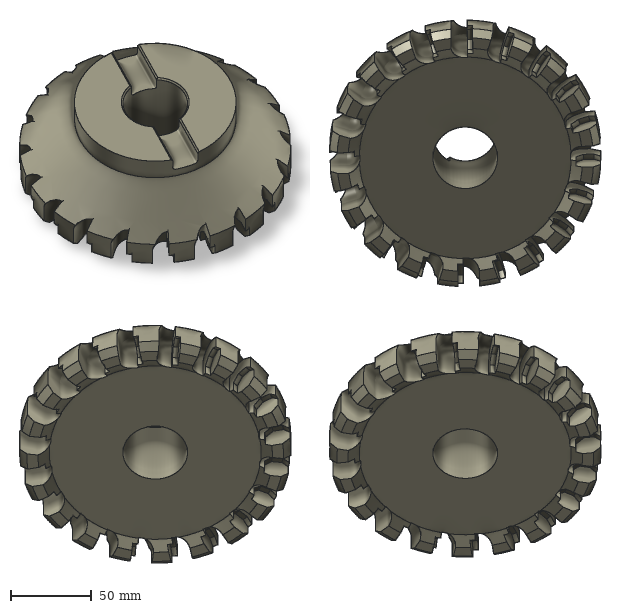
import cadquery as cq
import math

height = 60.7
rim_radius = 83.9
rim_top = 21.6
hub_radius = 50.0
hub_height = 15.0
hub_bottom = height - hub_height
edge_chamfer = 4.5

dish_radius = 72.5
dish_depth = 4.0
dish_angle = 30.0
dish_floor_radius = dish_radius - dish_depth / math.tan(math.radians(dish_angle))

bore_radius = 20.0
bore_chamfer = 1.0
slot_width = 16.6
slot_depth = 9.0
slot_corner_radius = 2.0
slot_chamfer = 1.0

tooth_count = 20
face_offset = 2.3
gullet_width = 10.0
gullet_corner_radius = 8.0
gullet_floor_radius = 65.0
gullet_round_height = 16.1

seat_depth = 3.4
seat_back_radius = 68.5
seat_top = 15.1
seat_top_inner_radius = 73.1
seat_top_outer_radius = 79.7
seat_back_top = 10.0

clearance = 3.4
outside_radius = rim_radius + clearance


def make_body():
    profile = [
        (0, dish_depth),
        (dish_floor_radius, dish_depth),
        (dish_radius, 0),
        (rim_radius - edge_chamfer, 0),
        (rim_radius, edge_chamfer),
        (rim_radius, rim_top),
        (hub_radius, hub_bottom),
        (hub_radius, height),
        (0, height),
    ]
    return cq.Workplane("XZ").polyline(profile).close().revolve(360, (0, 0), (0, 1))


def make_bore():
    bore = cq.Workplane("XY").circle(bore_radius).extrude(height)
    mouth = (
        cq.Workplane("XY")
        .workplane(offset=height - bore_chamfer)
        .circle(bore_radius)
        .workplane(offset=bore_chamfer)
        .circle(bore_radius + bore_chamfer)
        .loft()
    )
    return bore.union(mouth)


def make_drive_slot():
    half = slot_width / 2
    length = 2 * outside_radius
    channel = (
        cq.Workplane("XY")
        .box(length, slot_width, slot_depth, centered=(True, True, False))
        .edges("|X and <Z")
        .fillet(slot_corner_radius)
        .translate((0, 0, height - slot_depth))
    )
    bevel = (
        cq.Workplane("YZ", origin=(-length / 2, 0, 0))
        .polyline(
            [
                (-half, height - slot_chamfer),
                (half, height - slot_chamfer),
                (half + slot_chamfer, height),
                (-half - slot_chamfer, height),
            ]
        )
        .close()
        .extrude(length)
    )
    return channel.union(bevel)


def gullet_section(start_height):
    """Half outline of the cutter, in a horizontal plane at the -Y side of the rim."""
    side = face_offset - gullet_width
    tangent = -gullet_floor_radius - gullet_corner_radius
    diagonal = gullet_corner_radius * math.sqrt(0.5)
    corner_middle = (
        side + gullet_corner_radius - diagonal,
        tangent + diagonal,
    )
    return (
        cq.Workplane("XY", origin=(0, 0, start_height))
        .moveTo(face_offset, -outside_radius)
        .lineTo(side, -outside_radius)
        .lineTo(side, tangent)
        .threePointArc(corner_middle, (side + gullet_corner_radius, -gullet_floor_radius))
        .lineTo(face_offset, -gullet_floor_radius)
        .close()
    )


def make_gullet():
    straight = gullet_section(-clearance).extrude(gullet_round_height + clearance)
    rounded_end = gullet_section(gullet_round_height).revolve(
        90, (face_offset, 0), (face_offset, 1)
    )
    return straight.union(rounded_end)


def make_insert_seat():
    outer_end_height = seat_top - (outside_radius - seat_top_outer_radius)
    outline = [
        (-outside_radius, -clearance),
        (-outside_radius, outer_end_height),
        (-seat_top_outer_radius, seat_top),
        (-seat_top_inner_radius, seat_top),
        (-seat_back_radius, seat_back_top),
        (-seat_back_radius, -clearance),
    ]
    return (
        cq.Workplane("YZ", origin=(face_offset, 0, 0))
        .polyline(outline)
        .close()
        .extrude(seat_depth)
    )


result = make_body().cut(make_bore()).cut(make_drive_slot())
tooth_space = make_gullet().union(make_insert_seat())
for index in range(tooth_count):
    angle = index * 360 / tooth_count
    result = result.cut(tooth_space.rotate((0, 0, 0), (0, 0, 1), angle))